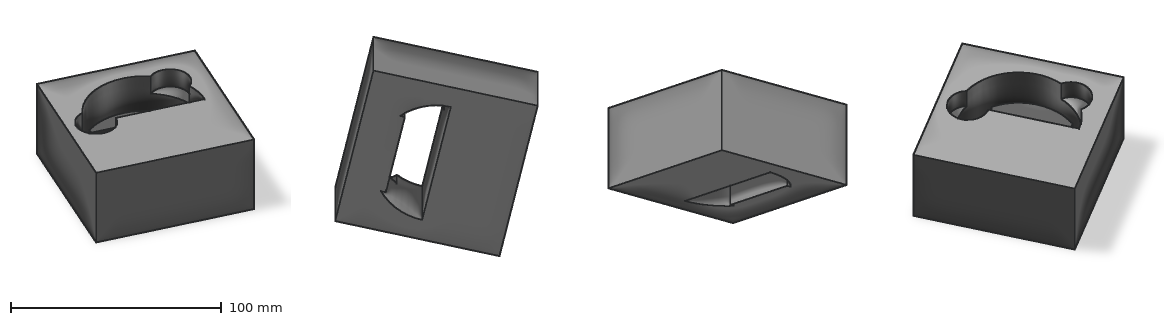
import cadquery as cq

side = 80.0
height = side / 2

opening_radius = 30.0

ledge_edge_x = -20.0
ledge_length = 40.0
ledge_height = height / 2

pocket_radius = 10.0
pocket_depth = 10.0
pocket_centers = [
    (ledge_edge_x, ledge_length / 2),
    (0, -2.5 * pocket_radius),
]


def half_round(depth):
    """Half disc bulging toward -X, extruded up from the base."""
    return (
        cq.Workplane("XY")
        .moveTo(0, opening_radius)
        .threePointArc((-opening_radius, 0), (0, -opening_radius))
        .close()
        .extrude(depth)
    )


def ledge():
    """Part of the half disc beyond the straight ledge edge."""
    ledge_width = opening_radius + ledge_edge_x
    envelope = (
        cq.Workplane("XY")
        .center(ledge_edge_x - ledge_width / 2, 0)
        .rect(ledge_width, ledge_length)
        .extrude(ledge_height)
    )
    return half_round(ledge_height).intersect(envelope)


def pockets():
    return (
        cq.Workplane("XY", origin=(0, 0, height - pocket_depth))
        .pushPoints(pocket_centers)
        .circle(pocket_radius)
        .extrude(pocket_depth)
    )


block = cq.Workplane("XY").box(side, side, height, centered=(True, True, False))
opening = half_round(height).cut(ledge())
result = block.cut(opening).cut(pockets())